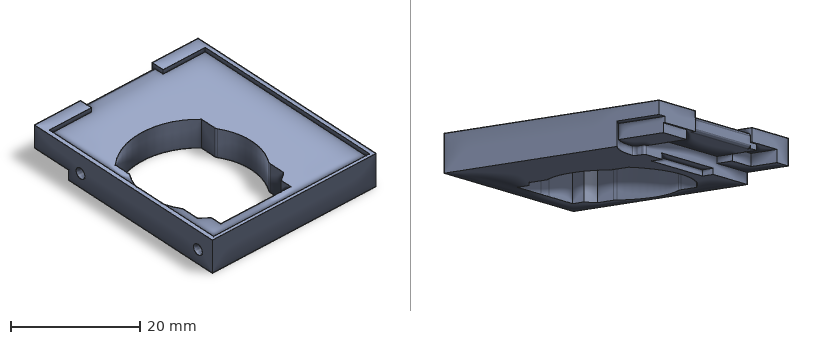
import cadquery as cq
import math

length = 41.05
width = 34.15
height = 6.3

tray_floor_z = 5.5
end_rim = 2.55
side_rim = 0.82
far_rim = 0.6
gap_start_y = 9.6
gap_end_y = width - gap_start_y
lip_setback = 0.33
lip_round = 0.5

step_length = 7.85
front_step_z = 1.93
channel_roof_z = 3.05
overhang_z = 4.02
leg_width = 3.05
channel_start_y = 8.0
channel_end_y = 26.47
leg_recess_depth = 4.92

relief_radius = 11.0
relief_back_x = 9.85
relief_center_y = 28.07
relief_blend = 0.5
relief_wall_y = 27.1
block_bottom_z = 1.48
block_end_y = 32.55

slot_start_y = 9.03
slot_end_y = 22.5
slot_height = 1.0
slot_depth = 2.05

aperture_x = 24.83
aperture_y = 11.95
inner_radius = 10.88
outer_radius = 13.05
flat_half_width = 9.0
bay_half_width = 7.3
bay_end_x = 37.85
aperture_blend = 1.0

pin_diameter = 2.0
pin_depth = 3.3
pin_z = 2.75
pin_xs = (10.63, 37.7)


def box(x0, x1, y0, y1, z0, z1):
    """Axis-aligned box between the given limits."""
    return cq.Workplane("XY").box(x1 - x0, y1 - y0, z1 - z0, centered=False).translate((x0, y0, z0))


def tray():
    pocket = box(end_rim, length - far_rim, side_rim, width - side_rim, tray_floor_z, height)
    gap = box(0, end_rim, gap_start_y, gap_end_y, tray_floor_z, height)
    return pocket.union(gap)


def lip_trim():
    """Space in front of the floor's edge in the rim gap, rounding that edge above and below."""
    front = box(0, end_rim, gap_start_y, gap_end_y, channel_roof_z, tray_floor_z)
    lip = front.translate((lip_setback, 0, 0)).faces("<X").edges("|Y").fillet(lip_round)
    return front.cut(lip)


def step():
    """Stepped space below the -X end, from the leg to the relief."""
    leg_space = box(0, step_length, 0, channel_start_y, 0, front_step_z)
    leg_recess = box(0, leg_recess_depth, leg_width, channel_start_y, front_step_z, overhang_z)
    channel = box(0, step_length, channel_start_y, channel_end_y, 0, channel_roof_z)
    rim_undercut = box(0, lip_setback, channel_start_y, gap_start_y, channel_roof_z, overhang_z)
    return leg_space.union(leg_recess).union(channel).union(rim_undercut)


def relief():
    """Space under the +Y corner: a round-backed pocket with a blended side wall, around the block."""
    center_x = relief_back_x - relief_radius
    disc = cq.Workplane("XY").center(center_x, relief_center_y).circle(relief_radius).extrude(overhang_z)
    pocket = box(0, length, relief_wall_y, width, 0, overhang_z).intersect(disc)
    mouth = box(0, step_length, channel_end_y, width, 0, overhang_z)
    space = pocket.union(mouth)

    back_corner_x = center_x + math.sqrt(relief_radius**2 - (relief_center_y - relief_wall_y) ** 2)
    for corner_x in (step_length, back_corner_x):
        corner = (corner_x, relief_wall_y, overhang_z / 2)
        space = space.edges("|Z").edges(cq.selectors.NearestToPointSelector(corner)).fillet(relief_blend)

    block = box(lip_setback, length, channel_end_y, block_end_y, block_bottom_z, overhang_z)
    rim = box(0, lip_setback, channel_end_y, block_end_y, channel_roof_z, overhang_z)
    return space.cut(block).cut(rim)


def slot():
    return box(step_length, step_length + slot_depth, slot_start_y, slot_end_y, 0, slot_height)


def aperture():
    plane = cq.Workplane("XY").center(aperture_x, aperture_y)
    flats = plane.rect(2 * outer_radius, 2 * flat_half_width).extrude(height)
    trimmed = plane.circle(outer_radius).extrude(height).intersect(flats)
    opening = trimmed.union(plane.circle(inner_radius).extrude(height))

    corner_offset = math.sqrt(inner_radius**2 - flat_half_width**2)
    for x_side in (-1, 1):
        for y_side in (-1, 1):
            corner = (
                aperture_x + x_side * corner_offset,
                aperture_y + y_side * flat_half_width,
                height / 2,
            )
            edge = cq.selectors.NearestToPointSelector(corner)
            opening = opening.edges("|Z").edges(edge).fillet(aperture_blend)

    bay = box(aperture_x, bay_end_x, aperture_y - bay_half_width, aperture_y + bay_half_width, 0, height)
    return opening.union(bay)


def pin_holes():
    return (
        cq.Workplane("XZ")
        .pushPoints([(x, pin_z) for x in pin_xs])
        .circle(pin_diameter / 2)
        .extrude(-pin_depth)
    )


result = box(0, length, 0, width, 0, height)
for cutter in (tray(), lip_trim(), step(), relief(), slot(), aperture(), pin_holes()):
    result = result.cut(cutter)